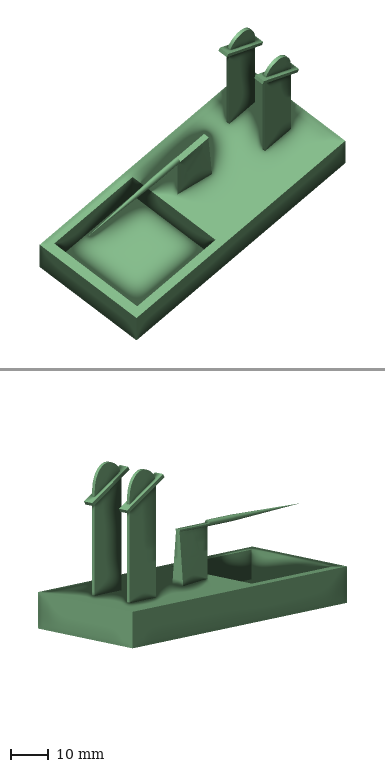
import cadquery as cq

BASE_WIDTH = 35.0
BASE_LENGTH = 80.0
BASE_HEIGHT = 9.8
BASIN_SIDE = 30.0
BASIN_CENTER_Y = -22.1
BASIN_DEPTH = 8.0

CENTER_X = -2.5

TOTAL_HEIGHT = 45.0
MARKER_SPACING = 13.0
MARKER_Y = 28.0
POST_WIDTH = 9.9
BACK_ARC_RISE = 6.9
POST_THICKNESS = 1.0
BAR_LENGTH = 15.5
BAR_WIDTH = 3.0
BAR_THICKNESS = 1.0
BAR_SLOPE = 30.0
BAR_CENTER_Z = 38.7

NEEDLE_RADIUS = 1.8 / 2
NEEDLE_AXIS_Z = 24.9
STAND_BACK_Y = 8.0
STAND_FRONT_Y = -3.0
STAND_FOOT_WIDTH = 4.0
STAND_TOP_WIDTH = 1.2
SHAFT_END_Y = -12.2
TIP_Y = -37.8


def make_base():
    block = cq.Workplane("XY").box(BASE_WIDTH, BASE_LENGTH, BASE_HEIGHT, centered=(True, True, False))
    basin = (
        cq.Workplane("XY", origin=(0, BASIN_CENTER_Y, BASE_HEIGHT))
        .rect(BASIN_SIDE, BASIN_SIDE)
        .extrude(-BASIN_DEPTH)
    )
    return block.cut(basin)


def make_marker(x):
    """Round-topped post, its curve taller on the +Y shoulder, joined to its sloping bar."""
    half_width = POST_WIDTH / 2
    post = (
        cq.Workplane("YZ", origin=(x, MARKER_Y, 0))
        .moveTo(-half_width, BASE_HEIGHT)
        .lineTo(half_width, BASE_HEIGHT)
        .lineTo(half_width, TOTAL_HEIGHT - BACK_ARC_RISE)
        .ellipseArc(half_width, BACK_ARC_RISE, 0, 90)
        .radiusArc((-half_width, TOTAL_HEIGHT - half_width), -half_width)
        .close()
        .extrude(POST_THICKNESS / 2, both=True)
    )
    bar = (
        cq.Workplane("XY")
        .box(BAR_WIDTH, BAR_LENGTH, BAR_THICKNESS)
        .rotate((0, 0, 0), (1, 0, 0), -BAR_SLOPE)
        .translate((x, MARKER_Y, BAR_CENTER_Z))
    )
    return post.union(bar)


def make_stand():
    """Wedge narrowing upward and to a vertical front edge, topped by a flat-sided half-round rest."""
    length = STAND_BACK_Y - STAND_FRONT_Y

    def triangle(workplane, width):
        return workplane.polyline([(0, 0), (width / 2, length), (-width / 2, length)]).close()

    foot = triangle(cq.Workplane("XY", origin=(CENTER_X, STAND_FRONT_Y, BASE_HEIGHT)), STAND_FOOT_WIDTH)
    top = foot.workplane(offset=NEEDLE_AXIS_Z - BASE_HEIGHT)
    wedge = triangle(top, STAND_TOP_WIDTH).loft(ruled=True)
    rest = (
        cq.Workplane("XZ", origin=(CENTER_X, STAND_BACK_Y, NEEDLE_AXIS_Z))
        .moveTo(-NEEDLE_RADIUS, 0)
        .threePointArc((0, -NEEDLE_RADIUS), (NEEDLE_RADIUS, 0))
        .close()
        .extrude(length)
    )
    return wedge.union(rest)


def make_needle():
    """Round shaft butting against the stand, tapering to a point toward -Y."""
    return (
        cq.Workplane("XY", origin=(CENTER_X, 0, NEEDLE_AXIS_Z))
        .moveTo(0, STAND_FRONT_Y)
        .lineTo(NEEDLE_RADIUS, STAND_FRONT_Y)
        .lineTo(NEEDLE_RADIUS, SHAFT_END_Y)
        .lineTo(0, TIP_Y)
        .close()
        .revolve(360, (0, 0, 0), (0, 1, 0))
    )


base = make_base()
markers = [make_marker(CENTER_X + side * MARKER_SPACING / 2) for side in (-1, 1)]
stand = make_stand()
needle = make_needle()

result = cq.Compound.makeCompound(
    [body.solids().val() for body in (base, *markers, stand, needle)]
)